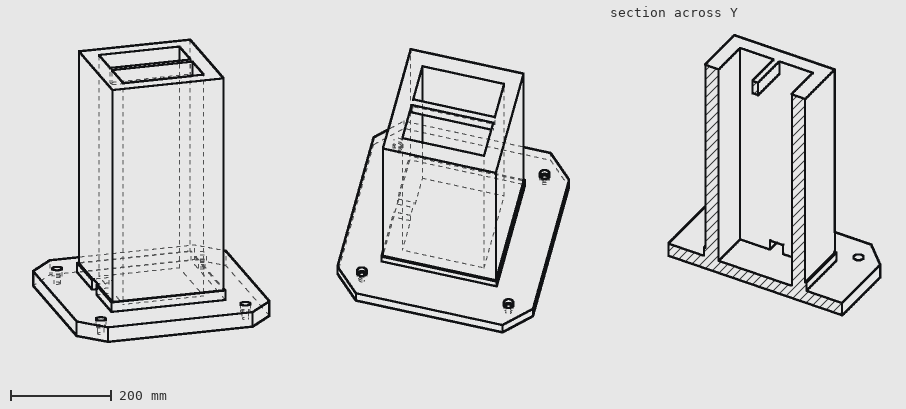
import cadquery as cq

plate_side = 400.0
plate_thickness = 31.0
corner_chamfer = 50.0

hole_spacing = 300.0
hole_diameter = 13.0
counterbore_diameter = 20.0
counterbore_depth = plate_thickness / 2

total_height = 500.0
column_side = 231.0
collar_side = 236.0
collar_height = 20.0

shaft_side = 167.0
web_thickness = 13.0
web_height = 31.0
column_height = total_height - plate_thickness

notch_width = 30.0
notch_height = 22.0
notch_depth = (collar_side - shaft_side) / 2


def block(width, depth, height, base):
    """Box centred on the Z axis, standing at the given base height."""
    return cq.Workplane("XY").workplane(offset=base).rect(width, depth).extrude(height)


def base_plate():
    plate = block(plate_side, plate_side, plate_thickness, 0).edges("|Z").chamfer(corner_chamfer)
    return (
        plate.faces(">Z")
        .workplane()
        .rect(hole_spacing, hole_spacing, forConstruction=True)
        .vertices()
        .cboreHole(hole_diameter, counterbore_diameter, counterbore_depth)
    )


def column():
    body = block(column_side, column_side, column_height, plate_thickness)
    collar = block(collar_side, collar_side, collar_height, plate_thickness)
    body = body.union(collar)
    shaft = block(shaft_side, shaft_side, column_height, plate_thickness)
    web = block(web_thickness, shaft_side, web_height, total_height - web_height)
    body = body.cut(shaft).union(web)
    notch = block(notch_width, notch_depth, notch_height, plate_thickness)
    return body.cut(notch.translate((0, (notch_depth - collar_side) / 2, 0)))


result = base_plate().union(column())